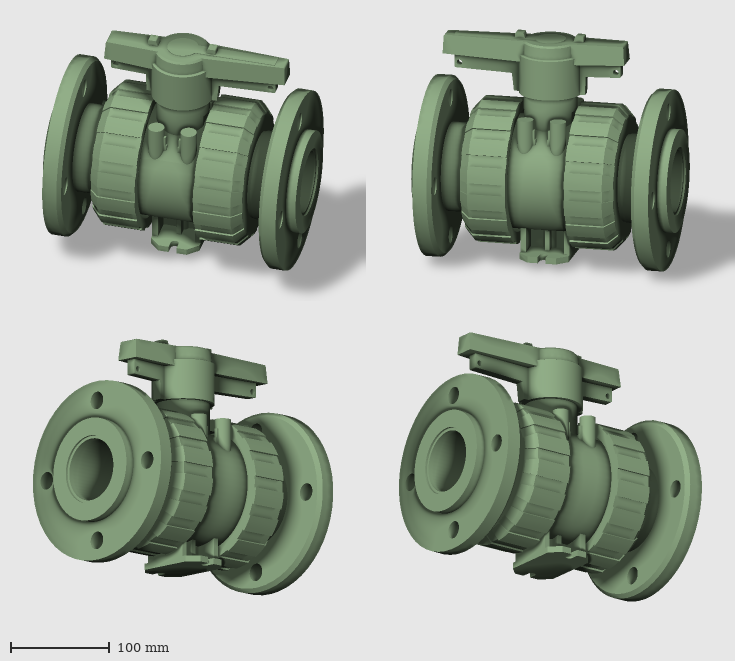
import cadquery as cq
import math

OVERALL_LENGTH = 265.5
OVERALL_HEIGHT = 240.3
HALF_LENGTH = OVERALL_LENGTH / 2
BORE_RADIUS = 31.9
BODY_RADIUS = 58.5
THREAD_RADIUS = 62.5

FACE_RADIUS = 52.8
FACE_RECESS_RADIUS = 34.8
FACE_RECESS_DEPTH = 2.0
STUB_RADIUS = 45.5
STUB_INNER_X = 85.0

FLANGE_DIAMETER = 185.0
FLANGE_RADIUS = FLANGE_DIAMETER / 2
FLANGE_THICKNESS = 18.9
FLANGE_OUTER_X = 122.7
FLANGE_CHAMFER = 4.0
BOLT_CIRCLE_RADIUS = 72.5
BOLT_HOLE_RADIUS = 9.0
BOLT_COUNT = 4

UNION_NECK_RADIUS = 44.5
UNION_RIM_LENGTH = 2.0
UNION_COLLAR_LENGTH = 8.0

NUT_RADIUS = 74.5
NUT_INNER_X = 30.5
NUT_OUTER_X = 79.6
NUT_CHAMFER_LENGTH = 9.5
NUT_CHAMFER_HEIGHT = 10.0
NUT_LIP = 5.3
GROOVE_COUNT = 16
GROOVE_WIDTH = 12.0
GROOVE_DEPTH = 2.0

COLLAR_X = NUT_OUTER_X - NUT_LIP
HOUSING_END_X = COLLAR_X - UNION_COLLAR_LENGTH
THREAD_START_X = 42.5

NECK_RADIUS = 27.3
NECK_TOP = 69.0
NECK_WIDTH_X = 49.0
STOP_HEIGHT = 4.5
STOP_START = -90.0
STOP_END = -35.0

POST_RADIUS = 8.2
POST_X = 17.0
POST_Y = 40.0
POST_TOP = 67.0
POST_RIB_WIDTH = 3.7
POST_RIB_TOP = 56.5
POST_RIB_X = 7.0
POST_FOOT_TOP = 47.0
POST_FOOT_X = 5.8
POST_SIDE_RIB_X = 20.2
POST_SIDE_RIB_Y = 30.3

FOOT_LENGTH_X = 51.0
FOOT_LENGTH_Y = 80.2
FOOT_CORNER = 10.5
FOOT_BOTTOM = -84.5
FOOT_THICKNESS = 6.5
FOOT_SLOT_WIDTH = 8.2
FOOT_SLOT_STRAIGHT = 8.0
FOOT_WEB = 4.8
FOOT_END_WALL = 5.8
FOOT_END_WALL_Y = 25.0
FOOT_RIB_Y = 15.7
FOOT_BOSS_DIAMETER = 14.0

HANDLE_BOTTOM = 86.0
HUB_RADIUS = 32.0
HUB_SHOULDER_Z = 127.0
HUB_SHOULDER_RISE = 1.0
CAP_BOTTOM_RADIUS = 29.5
CAP_TOP_RADIUS = 28.1
CAP_CHAMFER = 1.9
BAR_TOP = 141.5
BAR_BOTTOM = 120.3
BAR_END_BOTTOM = 122.0
BAR_HUB_X = 24.0
BAR_HUB_HALF_WIDTH = 16.2
BAR_LEFT_X = -79.6
BAR_LEFT_HALF_WIDTH = 13.3
BAR_RIGHT_X = 110.0
BAR_RIGHT_HALF_WIDTH = 11.0
BAR_SIDE_DRAFT = 2.5
BAR_LEFT_DRAFT = 1.5
BAR_RIGHT_DRAFT = 0.8
BAR_END_ROUND = 1.9

PLATE_WIDTH = 10.4
PLATE_LEFT_X = -74.0
PLATE_RIGHT_X = 98.5
PLATE_BOTTOM = 106.7
PLATE_LEFT_ROOT = (-37.7, 105.5)
PLATE_RIGHT_ROOT = (39.0, 104.5)
PLATE_FOOT_X = 37.0
PLATE_CORNER_ROUND = 1.0
PLATE_HOLE_RADIUS = 3.0
PLATE_HOLE_Z = 112.0
PLATE_HOLE_INSET = 5.0

TAB_INNER_X = 25.0
TAB_OUTER_X = 35.5
TAB_SLOPE = 2.0
TAB_ROUND = 1.3
TAB_WIDTH = 10.4
TAB_TOP = OVERALL_HEIGHT - FLANGE_RADIUS
INLAY_RADIUS = 16.0
INLAY_WIDTH = 13.8
INLAY_HEIGHT = 0.8


def tube(x_start, x_end, radius, bore=BORE_RADIUS):
    """Ring along +X between two stations."""
    ring = cq.Workplane("YZ").workplane(offset=x_start).circle(radius).circle(bore)
    return ring.extrude(x_end - x_start)


def both_ends(part):
    """The part on the +X side and its mirror image on the -X side."""
    return [part.val(), part.mirror("YZ").val()]


def block(x_range, y_range, z_range):
    """Box between two limits along each axis."""
    size = [limits[1] - limits[0] for limits in (x_range, y_range, z_range)]
    corner = (x_range[0], y_range[0], z_range[0])
    return cq.Workplane("XY").box(*size, centered=False).translate(corner)


def make_stub():
    face = tube(FLANGE_OUTER_X, HALF_LENGTH, FACE_RADIUS)
    neck = tube(STUB_INNER_X, FLANGE_OUTER_X, STUB_RADIUS)
    recess = tube(HALF_LENGTH - FACE_RECESS_DEPTH, HALF_LENGTH, FACE_RECESS_RADIUS)
    return face.union(neck).cut(recess)


def make_flange():
    inner_x = FLANGE_OUTER_X - FLANGE_THICKNESS
    ring = tube(inner_x, FLANGE_OUTER_X, FLANGE_RADIUS, STUB_RADIUS)
    rim = cq.selectors.RadiusNthSelector(-1)
    ring = ring.faces("<X").edges(rim).chamfer(FLANGE_CHAMFER)
    holes = (
        cq.Workplane("YZ").workplane(offset=inner_x)
        .polarArray(BOLT_CIRCLE_RADIUS, 0, 360, BOLT_COUNT)
        .circle(BOLT_HOLE_RADIUS).extrude(FLANGE_THICKNESS)
    )
    return ring.cut(holes)


def make_union_end():
    collar = tube(HOUSING_END_X, COLLAR_X, THREAD_RADIUS)
    rim_x = STUB_INNER_X - UNION_RIM_LENGTH
    neck = tube(COLLAR_X, rim_x, UNION_NECK_RADIUS)
    rim = tube(rim_x, STUB_INNER_X, STUB_RADIUS)
    return collar.union(neck).union(rim)


def nut_blank(radius):
    """Solid of revolution with the tapered outer end."""
    outline = [
        (NUT_INNER_X, 0),
        (NUT_INNER_X, radius),
        (NUT_OUTER_X - NUT_CHAMFER_LENGTH, radius),
        (NUT_OUTER_X, radius - NUT_CHAMFER_HEIGHT),
        (NUT_OUTER_X, 0),
    ]
    return cq.Workplane("XY").polyline(outline).close().revolve(360, (0, 0, 0), (1, 0, 0))


def make_nut():
    blank = nut_blank(NUT_RADIUS)
    skin = blank.cut(nut_blank(NUT_RADIUS - GROOVE_DEPTH))
    half_groove = GROOVE_WIDTH / 2
    bar = block((NUT_INNER_X, NUT_OUTER_X), (0, NUT_RADIUS), (-half_groove, half_groove))
    nut = blank
    for index in range(GROOVE_COUNT):
        angle = index * 360 / GROOVE_COUNT
        nut = nut.cut(skin.intersect(bar.rotate((0, 0, 0), (1, 0, 0), angle)))
    cavity = tube(NUT_INNER_X, COLLAR_X, THREAD_RADIUS, bore=UNION_NECK_RADIUS)
    opening = cq.Workplane("YZ").circle(UNION_NECK_RADIUS).extrude(NUT_OUTER_X)
    return nut.cut(cavity).cut(opening)


def make_stop():
    """Sector that stands on the neck and stops the handle."""
    reach = 2 * NECK_RADIUS
    corners = [(0, 0)]
    for angle in (STOP_START, STOP_END):
        turn = math.radians(angle)
        corners.append((reach * math.cos(turn), reach * math.sin(turn)))
    sector = (
        cq.Workplane("XY").workplane(offset=NECK_TOP)
        .polyline(corners).close().extrude(STOP_HEIGHT)
    )
    disc = cq.Workplane("XY").circle(NECK_RADIUS).extrude(NECK_TOP + STOP_HEIGHT)
    return sector.intersect(disc)


def make_neck():
    neck = cq.Workplane("XY").circle(NECK_RADIUS).extrude(NECK_TOP).union(make_stop())
    flat_x = NECK_WIDTH_X / 2
    between_flats = block(
        (-flat_x, flat_x), (-NECK_RADIUS, NECK_RADIUS), (0, NECK_TOP + STOP_HEIGHT)
    )
    return neck.intersect(between_flats)


def make_post():
    """One post with its ribs, in the +X +Y corner."""
    half_rib = POST_RIB_WIDTH / 2
    rib_y = (POST_Y - half_rib, POST_Y + half_rib)
    post = cq.Workplane("XY").center(POST_X, POST_Y).circle(POST_RADIUS).extrude(POST_TOP)
    rib = block((POST_RIB_X, POST_X), rib_y, (0, POST_RIB_TOP))
    foot = block((POST_FOOT_X, POST_X), rib_y, (0, POST_FOOT_TOP))
    side_x = (POST_SIDE_RIB_X - half_rib, POST_SIDE_RIB_X + half_rib)
    side_rib = block(side_x, (POST_SIDE_RIB_Y, POST_Y), (0, POST_RIB_TOP))
    return post.union(rib).union(foot).union(side_rib)


def make_mounting_foot():
    plate_top = FOOT_BOTTOM + FOOT_THICKNESS
    plate = (
        cq.Workplane("XY").workplane(offset=FOOT_BOTTOM)
        .rect(FOOT_LENGTH_X, FOOT_LENGTH_Y).extrude(FOOT_THICKNESS)
        .edges("|Z").chamfer(FOOT_CORNER)
    )
    slot_length = 2 * FOOT_SLOT_STRAIGHT + FOOT_SLOT_WIDTH
    for side in (-1, 1):
        slot = (
            cq.Workplane("XY").workplane(offset=FOOT_BOTTOM)
            .center(0, side * FOOT_LENGTH_Y / 2)
            .slot2D(slot_length, FOOT_SLOT_WIDTH, 90).extrude(FOOT_THICKNESS)
        )
        plate = plate.cut(slot)

    half_x = FOOT_LENGTH_X / 2
    half_web = FOOT_WEB / 2
    heights = (plate_top, 0)
    web = block((-half_x, half_x), (-half_web, half_web), heights)
    rib = block((-half_web, half_web), (-FOOT_RIB_Y, FOOT_RIB_Y), heights)
    boss = (
        cq.Workplane("XY").workplane(offset=plate_top)
        .circle(FOOT_BOSS_DIAMETER / 2).extrude(-plate_top)
    )
    foot = plate.union(web).union(rib).union(boss)
    wall = block((half_x - FOOT_END_WALL, half_x), (-FOOT_END_WALL_Y, FOOT_END_WALL_Y), heights)
    return foot.union(wall).union(wall.mirror("YZ"))


def make_housing():
    housing = cq.Workplane("YZ").circle(BODY_RADIUS).extrude(HOUSING_END_X, both=True)
    thread = tube(THREAD_START_X, HOUSING_END_X, THREAD_RADIUS)
    housing = housing.union(thread).union(thread.mirror("YZ"))
    housing = housing.union(make_neck()).union(make_mounting_foot())
    post = make_post()
    for mirrored_x in (False, True):
        for mirrored_y in (False, True):
            copy = post.mirror("YZ") if mirrored_x else post
            copy = copy.mirror("XZ") if mirrored_y else copy
            housing = housing.union(copy)
    bore = cq.Workplane("YZ").circle(BORE_RADIUS).extrude(HOUSING_END_X, both=True)
    return housing.cut(bore)


def make_hub():
    hub_outline = [
        (0, NECK_TOP),
        (NECK_RADIUS, NECK_TOP),
        (NECK_RADIUS, HANDLE_BOTTOM),
        (HUB_RADIUS, HANDLE_BOTTOM),
        (HUB_RADIUS, HUB_SHOULDER_Z),
        (CAP_BOTTOM_RADIUS, HUB_SHOULDER_Z + HUB_SHOULDER_RISE),
        (CAP_TOP_RADIUS, BAR_TOP - CAP_CHAMFER),
        (CAP_TOP_RADIUS - CAP_CHAMFER, BAR_TOP),
        (0, BAR_TOP),
    ]
    hub = cq.Workplane("XZ").polyline(hub_outline).close().revolve(360, (0, 0, 0), (0, 1, 0))
    return hub.cut(make_stop())


def bar_outline(side_draft, left_draft, right_draft):
    """Closed plan outline of the bar, drawn in on its sides and ends by the drafts."""
    upper = [
        (BAR_LEFT_X + left_draft, BAR_LEFT_HALF_WIDTH - side_draft),
        (-BAR_HUB_X, BAR_HUB_HALF_WIDTH - side_draft),
        (BAR_HUB_X, BAR_HUB_HALF_WIDTH - side_draft),
        (BAR_RIGHT_X - right_draft, BAR_RIGHT_HALF_WIDTH - side_draft),
    ]
    return upper + [(x, -y) for x, y in reversed(upper)]


def make_bar():
    bar = (
        cq.Workplane("XY").workplane(offset=BAR_BOTTOM)
        .polyline(bar_outline(0, 0, 0)).close()
        .workplane(offset=BAR_TOP - BAR_BOTTOM)
        .polyline(bar_outline(BAR_SIDE_DRAFT, BAR_LEFT_DRAFT, BAR_RIGHT_DRAFT)).close()
        .loft(ruled=True)
    )
    bar = bar.faces(">Z").edges("<X or >X").fillet(BAR_END_ROUND)
    for end_x, hub_x in ((BAR_LEFT_X, -BAR_HUB_X), (BAR_RIGHT_X, BAR_HUB_X)):
        below = [(hub_x, BAR_BOTTOM), (end_x, BAR_END_BOTTOM), (end_x, BAR_BOTTOM)]
        wedge = cq.Workplane("XZ").polyline(below).close().extrude(HUB_RADIUS, both=True)
        bar = bar.cut(wedge)
    return bar


def make_plate():
    """Upright plate under the bar, with a hole near each end."""
    outline = [
        (PLATE_LEFT_X, BAR_END_BOTTOM),
        (PLATE_LEFT_X, PLATE_BOTTOM),
        PLATE_LEFT_ROOT,
        (-PLATE_FOOT_X, HANDLE_BOTTOM),
        (PLATE_FOOT_X, HANDLE_BOTTOM),
        PLATE_RIGHT_ROOT,
        (PLATE_RIGHT_X, PLATE_BOTTOM),
        (PLATE_RIGHT_X, BAR_END_BOTTOM),
        (BAR_HUB_X, BAR_TOP),
        (-BAR_HUB_X, BAR_TOP),
    ]
    plate = cq.Workplane("XZ").polyline(outline).close().extrude(PLATE_WIDTH / 2, both=True)
    for end_x in (PLATE_LEFT_X, PLATE_RIGHT_X):
        corner = cq.selectors.NearestToPointSelector((end_x, 0, PLATE_BOTTOM))
        plate = plate.edges("|Y").edges(corner).fillet(PLATE_CORNER_ROUND)
    hole_spots = [
        (PLATE_LEFT_X + PLATE_HOLE_INSET, PLATE_HOLE_Z),
        (PLATE_RIGHT_X - PLATE_HOLE_INSET, PLATE_HOLE_Z),
    ]
    holes = (
        cq.Workplane("XZ").pushPoints(hole_spots)
        .circle(PLATE_HOLE_RADIUS).extrude(PLATE_WIDTH, both=True)
    )
    return plate.cut(holes)


def make_tab():
    """Tab on top of the bar, on the +X side of the hub."""
    outline = [
        (TAB_INNER_X, BAR_TOP),
        (TAB_INNER_X + TAB_SLOPE, TAB_TOP),
        (TAB_OUTER_X, TAB_TOP),
        (TAB_OUTER_X, BAR_TOP),
    ]
    tab = cq.Workplane("XZ").polyline(outline).close().extrude(TAB_WIDTH / 2, both=True)
    return tab.edges("|Y and >Z").fillet(TAB_ROUND)


def make_inlay():
    """Thin raised disc and strip along the top."""
    half_width = INLAY_WIDTH / 2
    heights = (BAR_TOP, BAR_TOP + INLAY_HEIGHT)
    disc = cq.Workplane("XY").workplane(offset=BAR_TOP).circle(INLAY_RADIUS).extrude(INLAY_HEIGHT)
    return disc.union(block((0, PLATE_RIGHT_X), (-half_width, half_width), heights))


def make_handle():
    tab = make_tab()
    handle = make_hub().union(make_bar()).union(make_plate())
    return handle.union(make_inlay()).union(tab).union(tab.mirror("YZ"))


housing = make_housing()
handle = make_handle()
result = cq.Compound.makeCompound([
    housing.val(),
    handle.val(),
    *both_ends(make_nut()),
    *both_ends(make_union_end()),
    *both_ends(make_stub()),
    *both_ends(make_flange()),
])